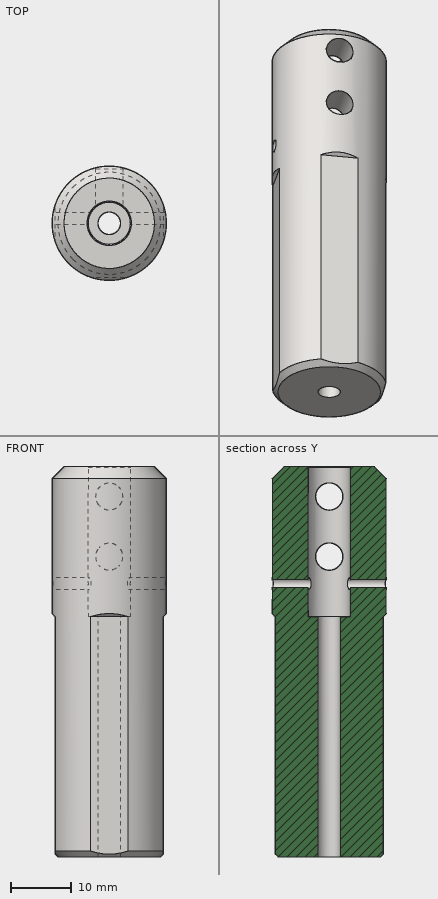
import cadquery as cq

body_diameter = 19.05
body_length = 65.0
top_chamfer = 2.0
bottom_chamfer = 1.0

across_flats = 18.0
flat_length = 40.0
flat_count = 4

bore_diameter = 7.0
bore_depth = 25.0
bore_chamfer = 0.2
through_diameter = 3.7

screw_diameter = 4.5
screw_distances_from_top = (5.0, 15.0)

pin_diameter = 2.0
pin_distance_from_top = 19.5
pin_offset = 0.8

body_radius = body_diameter / 2


def make_body():
    """Round bar with a wide chamfer at the top and a small one at the bottom."""
    bar = cq.Workplane("XY").circle(body_radius).extrude(body_length)
    bar = bar.faces(">Z").chamfer(top_chamfer)
    return bar.faces("<Z").chamfer(bottom_chamfer)


def make_flat_cutter():
    """Cutter for the flat facing +X, with its ramp at the upper end."""
    inner = across_flats / 2
    depth = body_radius - inner
    outer = body_radius + depth
    ramp_top = flat_length + outer - inner
    profile = [
        (inner, 0),
        (outer, 0),
        (outer, ramp_top),
        (inner, flat_length),
    ]
    return cq.Workplane("XZ").polyline(profile).close().extrude(body_radius, both=True)


def cut_flats(part):
    cutter = make_flat_cutter()
    for index in range(flat_count):
        angle = index * 360 / flat_count
        part = part.cut(cutter.rotate((0, 0, 0), (0, 0, 1), angle))
    return part


def cut_bore(part):
    """Blind bore from the top, continued to the bottom by a smaller hole."""
    bore_floor = body_length - bore_depth
    bore_radius = bore_diameter / 2
    mouth_radius = bore_radius + bore_chamfer
    through_radius = through_diameter / 2
    half_profile = [
        (0, 0),
        (through_radius, 0),
        (through_radius, bore_floor),
        (bore_radius, bore_floor),
        (bore_radius, body_length - bore_chamfer),
        (mouth_radius, body_length),
        (0, body_length),
    ]
    bore = cq.Workplane("XZ").polyline(half_profile).close().revolve(360, (0, 0, 0), (0, 1, 0))
    return part.cut(bore)


def cut_screw_holes(part):
    """Radial holes from the bore axis out through the +Y wall."""
    for distance in screw_distances_from_top:
        height = body_length - distance
        hole = cq.Workplane("XZ").center(0, height).circle(screw_diameter / 2).extrude(-body_radius)
        part = part.cut(hole)
    return part


def cut_pin_hole(part):
    """Cross hole through the full width along X."""
    height = body_length - pin_distance_from_top
    hole = cq.Workplane("YZ").center(pin_offset, height).circle(pin_diameter / 2)
    return part.cut(hole.extrude(body_radius, both=True))


result = make_body()
result = cut_flats(result)
result = cut_bore(result)
result = cut_screw_holes(result)
result = cut_pin_hole(result)